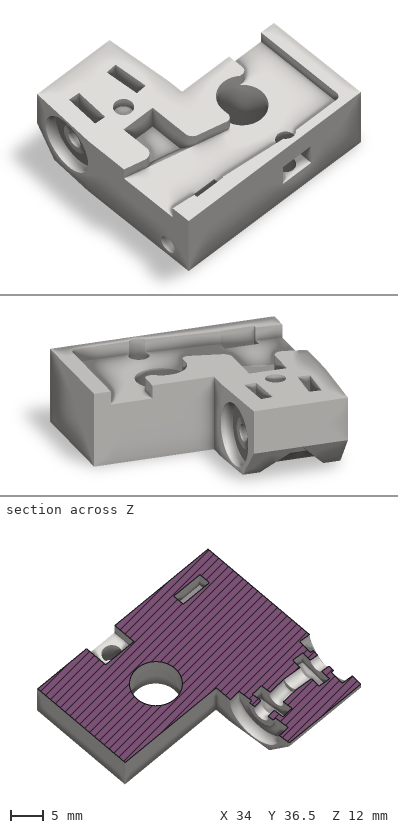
import cadquery as cq
import math

length_x = 34.0
length_y = 36.5
height = 12.0
leg_x = 15.0
arm_y = 17.0
taper_length = 12.0
taper_angle = 4.0
arm_mid_y = arm_y / 2
taper_inset = taper_length * math.tan(math.radians(taper_angle))

bevel_x = 4.0
bevel_z = 5.0

pocket_depth = 2.15
pocket_right = 32.52
pocket_top = 33.75
pocket_step_x = 18.9
pocket_step_y = 27.0
pocket_right_angle = 5.0
pocket_left_angle = 13.0
pocket_left_foot = 19.85
corner_radius = 1.0

bore_x = 22.0
bore_y = 23.0
bore_diameter = 8.0
pin_x = 31.5
pin_diameter = 3.2

side_slot_width = 6.0
side_slot_height = 4.0
side_slot_bottom = (height - side_slot_height) / 2
side_slot_inner_x = pin_x - pin_diameter / 2

window_left = 14.15
window_width = 6.17
window_depth = 4.5
window_radius = 1.5
window_front = arm_mid_y - window_width / 2
window_back = arm_mid_y + window_width / 2

seat_x = 7.0
front_seat_z = 6.5
back_seat_z = 5.5
seat_diameter = 10.0
seat_depth = 2.0
boss_diameter = 5.0
boss_height = 0.5
screw_diameter = 2.8
nut_slot_length = 6.17
nut_slot_width = 2.0
nut_slot_distance = 4.0

blind_hole_x = 11.0
blind_hole_diameter = 3.2
blind_hole_depth = 1.75

cross_x = 29.5
cross_z = 2.4
cross_diameter = 3.0
cross_depth = 6.95
slot_width = 2.0
slot_front = 4.25
slot_back = 9.8
slot_floor = 3.15

groove_apex_z = 5.25
groove_half_angle = 47.0
groove_tip_radius = 0.7
groove_tilt = 6.0
groove_end_x = 5.0
groove_end_slope_height = 2.05
groove_overrun = 1.82


def box(x0, x1, y0, y1, z0, z1):
    return cq.Workplane("XY").box(x1 - x0, y1 - y0, z1 - z0, centered=False).translate((x0, y0, z0))


def make_body():
    outline = [
        (0, taper_inset),
        (taper_length, 0),
        (length_x, 0),
        (length_x, length_y),
        (leg_x, length_y),
        (leg_x, arm_y),
        (taper_length, arm_y),
        (0, arm_y - taper_inset),
    ]
    body = cq.Workplane("XY").polyline(outline).close().extrude(height)
    bevel = (
        cq.Workplane("XZ")
        .polyline([(0, 0), (bevel_x, 0), (0, bevel_z)])
        .close()
        .extrude(-arm_y)
    )
    return body.cut(bevel)


def left_wall_x(y):
    return pocket_left_foot + y * math.tan(math.radians(pocket_left_angle))


def pocket_and_window(depth):
    """Plan outline shared by the pocket and the window, cut down from the top face."""
    bore_front = bore_y - bore_diameter / 2
    right_foot = pocket_right - bore_y * math.tan(math.radians(pocket_right_angle))
    outline = [
        (pocket_left_foot, 0),
        (right_foot, 0),
        (pocket_right, bore_y),
        (pocket_right, pocket_top),
        (leg_x, pocket_top),
        (leg_x, pocket_step_y),
        (pocket_step_x, pocket_step_y),
        (pocket_step_x, bore_y),
        (bore_x, bore_y),
        (bore_x, bore_front),
        (left_wall_x(bore_front), bore_front),
        (left_wall_x(window_back), window_back),
        (window_left, window_back),
        (window_left, window_front),
        (left_wall_x(window_front), window_front),
    ]
    pocket_corners = [
        (pocket_right, pocket_top),
        (pocket_step_x, pocket_step_y),
        (left_wall_x(bore_front), bore_front),
    ]
    window_corners = [
        (left_wall_x(window_back), window_back),
        (left_wall_x(window_front), window_front),
    ]
    floor = height - depth
    solid = cq.Workplane("XY", origin=(0, 0, floor)).polyline(outline).close().extrude(depth)
    for corners, radius in ((pocket_corners, corner_radius), (window_corners, window_radius)):
        for x, y in corners:
            edge = cq.selectors.NearestToPointSelector((x, y, floor + depth / 2))
            solid = solid.edges("|Z").edges(edge).fillet(radius)
    return solid


def window_zone():
    """Space left of the slanted wall, above a 45 degree ramp and the window floor."""
    ramp_run = window_depth - pocket_depth
    reach = length_x / 2
    wall_length = arm_y
    angle = math.radians(pocket_left_angle)
    across = (math.cos(angle), -math.sin(angle), 0)
    against_wall = (-math.sin(angle), -math.cos(angle), 0)
    plane = cq.Plane(origin=(pocket_left_foot, 0, height), xDir=across, normal=against_wall)
    profile = [
        (0, 0),
        (0, -pocket_depth),
        (-ramp_run, -window_depth),
        (-reach, -window_depth),
        (-reach, 0),
    ]
    return cq.Workplane(plane).polyline(profile).close().extrude(-wall_length)


def vertical_hole(x, y, diameter, depth):
    return cq.Workplane("XY", origin=(x, y, height)).circle(diameter / 2).extrude(-depth)


def side_slot():
    return box(
        side_slot_inner_x,
        length_x,
        bore_y - side_slot_width / 2,
        bore_y + side_slot_width / 2,
        side_slot_bottom,
        side_slot_bottom + side_slot_height,
    )


def screw_seat(seat_z):
    """Cutting body for the seat, screw hole and nut slot of the front tapered face."""
    angle = math.radians(taper_angle)
    inward = cq.Vector(math.sin(angle), math.cos(angle), 0)
    face_centre = cq.Vector(seat_x, taper_inset * (1 - seat_x / taper_length), seat_z)
    across = (math.cos(angle), -math.sin(angle), 0)

    def cylinder(diameter, start, end):
        plane = cq.Plane(origin=(face_centre + inward * start).toTuple(), xDir=across, normal=inward.toTuple())
        return cq.Workplane(plane).circle(diameter / 2).extrude(end - start)

    seat = cylinder(seat_diameter, 0, seat_depth)
    boss = cylinder(boss_diameter, seat_depth - boss_height, seat_depth)
    hole_end = (arm_mid_y - face_centre.y) / math.cos(angle) + screw_diameter / 2 * math.tan(angle)
    hole = cylinder(screw_diameter, 0, hole_end)
    slot_centre = face_centre + inward * nut_slot_distance
    slot_bottom = seat_z - nut_slot_length / 2
    slot = (
        cq.Workplane("XY", origin=(slot_centre.x, slot_centre.y, slot_bottom))
        .transformed(rotate=(0, 0, -taper_angle))
        .rect(nut_slot_length, nut_slot_width)
        .extrude(height - slot_bottom)
    )
    return seat.cut(boss).union(hole).union(slot)


def cross_hole_and_slot():
    hole = cq.Workplane("XZ", origin=(cross_x, 0, cross_z)).circle(cross_diameter / 2).extrude(-cross_depth)
    slot = box(cross_x, cross_x + slot_width, slot_front, slot_back, slot_floor, height)
    return hole.union(slot)


def v_groove():
    half_width = (groove_apex_z + groove_overrun) * math.tan(math.radians(groove_half_angle))
    end_foot_x = groove_end_x + groove_end_slope_height
    groove = (
        cq.Workplane("YZ", origin=(-groove_overrun, arm_mid_y, 0))
        .polyline([(-half_width, -groove_overrun), (half_width, -groove_overrun), (0, groove_apex_z)])
        .close()
        .extrude(end_foot_x + 2 * groove_overrun)
        .edges("|X and >Z")
        .fillet(groove_tip_radius)
        .rotate((0, 0, groove_apex_z), (0, 1, groove_apex_z), groove_tilt)
    )
    end_profile = [
        (0, 0),
        (end_foot_x, 0),
        (groove_end_x, groove_end_slope_height),
        (groove_end_x, groove_apex_z),
        (0, groove_apex_z),
    ]
    reach = cq.Workplane("XZ").polyline(end_profile).close().extrude(-arm_y)
    return groove.intersect(reach)


front_seat = screw_seat(front_seat_z)
back_seat = screw_seat(back_seat_z).mirror("XZ", (0, arm_mid_y, 0))

result = (
    make_body()
    .cut(pocket_and_window(pocket_depth))
    .cut(pocket_and_window(window_depth).intersect(window_zone()))
    .cut(vertical_hole(bore_x, bore_y, bore_diameter, height))
    .cut(vertical_hole(pin_x, bore_y, pin_diameter, height))
    .cut(side_slot())
    .cut(vertical_hole(blind_hole_x, arm_mid_y, blind_hole_diameter, blind_hole_depth))
    .cut(front_seat)
    .cut(back_seat)
    .cut(cross_hole_and_slot())
    .cut(v_groove())
)